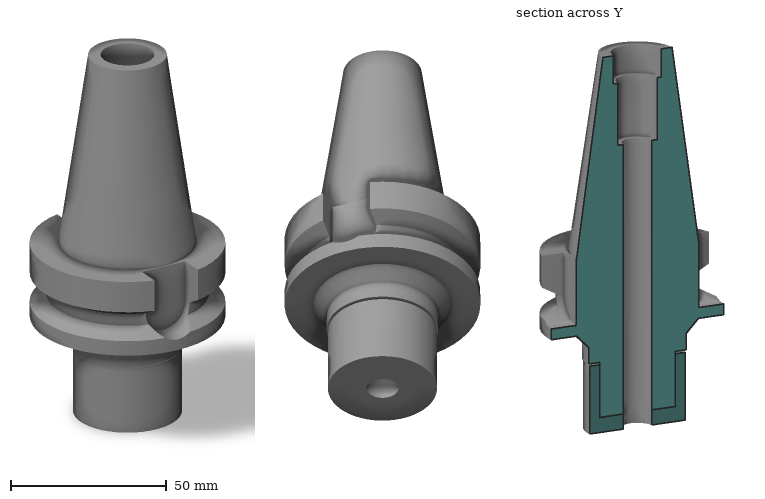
import cadquery as cq

total_height = 125.4
gauge_height = 60.0
flange_top = 59.3
upper_rim_bottom = 48.7
groove_top = 45.8
groove_bottom = 41.6
lower_rim_top = 38.5
flange_bottom = 33.4
collar_top = 29.1
collar_bottom = 23.5
nut_top = 22.8
nut_lead_height = 2.0
nut_floor = 5.0

taper_small_radius = 12.7
taper_large_radius = 22.2
flange_radius = 31.5
groove_radius = 26.3
collar_radius = 17.9
neck_radius = 13.9
nut_radius = 17.5
nut_lead_radius = 17.4

entry_radius = 8.7
entry_depth = 9.4
thread_radius = 7.1
thread_depth = 30.1
through_radius = 5.1

slot_width = 16.3
slot_floor_offset = 22.5
slot_bottom = 37.1


def holder_blank():
    """Solid of revolution: taper, grooved flange, collar and neck."""
    profile = [
        (0, nut_floor),
        (neck_radius, nut_floor),
        (neck_radius, collar_bottom),
        (collar_radius, collar_bottom),
        (collar_radius, collar_top),
        (taper_large_radius, flange_bottom),
        (flange_radius, flange_bottom),
        (flange_radius, lower_rim_top),
        (groove_radius, groove_bottom),
        (groove_radius, groove_top),
        (flange_radius, upper_rim_bottom),
        (flange_radius, flange_top),
        (taper_large_radius, flange_top),
        (taper_large_radius, gauge_height),
        (taper_small_radius, total_height),
        (0, total_height),
    ]
    return cq.Workplane("XZ").polyline(profile).close().revolve(360, (0, 0), (0, 1))


def cut_bore(body):
    """Through bore with a threaded section and a wider entry at the top."""
    body = body.cut(cq.Workplane("XY").circle(through_radius).extrude(total_height))
    for radius, depth in ((thread_radius, thread_depth), (entry_radius, entry_depth)):
        step = cq.Workplane("XY", origin=(0, 0, total_height - depth)).circle(radius).extrude(depth)
        body = body.cut(step)
    return body


def drive_slot(side):
    """Round-bottomed slot cutter on the +X (side=1) or -X (side=-1) flank."""
    half_width = slot_width / 2
    arc_center = slot_bottom + half_width
    return (
        cq.Workplane("YZ", origin=(side * slot_floor_offset, 0, 0))
        .moveTo(-half_width, flange_top)
        .lineTo(-half_width, arc_center)
        .threePointArc((0, slot_bottom), (half_width, arc_center))
        .lineTo(half_width, flange_top)
        .close()
        .extrude(side * (flange_radius - slot_floor_offset))
    )


def make_holder():
    body = cut_bore(holder_blank())
    for side in (-1, 1):
        body = body.cut(drive_slot(side))
    return body


def make_nut():
    """Clamping nut: a cup around the neck with a slightly conical top band."""
    profile = [
        (through_radius, 0),
        (nut_radius, 0),
        (nut_radius, nut_top - nut_lead_height),
        (nut_lead_radius, nut_top),
        (neck_radius, nut_top),
        (neck_radius, nut_floor),
        (through_radius, nut_floor),
    ]
    return cq.Workplane("XZ").polyline(profile).close().revolve(360, (0, 0), (0, 1))


holder = make_holder()
nut = make_nut()
result = cq.Compound.makeCompound([holder.val(), nut.val()])